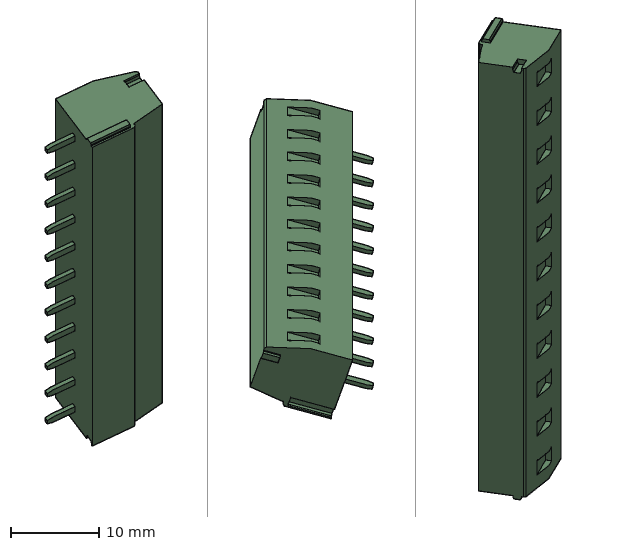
import cadquery as cq

POLES = 11
PITCH = 5.0
END_WALL = 0.1
LENGTH = POLES * PITCH + 2 * END_WALL
DEPTH = 10.0
WIDTH = 8.1

LEFT_BREAK = 5.0
BACK_LEFT = 1.35
BACK_RIGHT = 6.85
STEP_DEPTH = 5.8
STEP_WIDTH = 0.5
STEP_CHAMFER = 0.25
CORNER_CHAMFER = 0.2

PIN_LENGTH = 3.65
PIN_THICKNESS = 0.5
PIN_HEIGHT = 1.0
PIN_TIP_LENGTH = 0.75
PIN_TIP_HEIGHT = 0.6

WINDOW_FRONT = 3.85
WINDOW_BACK = 7.5
WINDOW_HEIGHT = 1.8
WINDOW_FLOOR = 0.7

WIDTH_CLEARANCE = 0.05
DEPTH_CLEARANCE = 0.25
RAIL_CENTRE = 7.35
RAIL_WIDTH = 1.05
RAIL_HEIGHT = 0.4
RAIL_LENGTH = 5.2
KEY_CENTRE = 2.3
KEY_WIDTH = 1.0
KEY_HEIGHT = 0.4
KEY_LENGTH = 2.0
CREST_BEVEL = 0.15


def housing():
    outline = [
        (0, 0),
        (WIDTH, 0),
        (WIDTH, STEP_DEPTH - STEP_CHAMFER),
        (WIDTH - STEP_CHAMFER, STEP_DEPTH),
        (WIDTH - STEP_WIDTH, STEP_DEPTH),
        (BACK_RIGHT, DEPTH),
        (BACK_LEFT, DEPTH),
        (0, LEFT_BREAK),
    ]
    block = cq.Workplane("XY").polyline(outline).close().extrude(LENGTH)
    return block.faces(">Y").edges("<X").chamfer(CORNER_CHAMFER)


def bevelled_bar(centre, width, height, y_start, length):
    """Bar along Y with its base at Z = 0; a negative height points down."""
    half = width / 2
    crest = half - CREST_BEVEL
    section = [
        (centre - half, 0),
        (centre + half, 0),
        (centre + half, height / 2),
        (centre + crest, height),
        (centre - crest, height),
        (centre - half, height / 2),
    ]
    bar = cq.Workplane("XZ").polyline(section).close().extrude(-length)
    return bar.translate((0, y_start, 0))


def pin(z):
    half = PIN_HEIGHT / 2
    tip = PIN_TIP_HEIGHT / 2
    shoulder = PIN_TIP_LENGTH - PIN_LENGTH
    side = [
        (0, z - half),
        (shoulder, z - half),
        (-PIN_LENGTH, z - tip),
        (-PIN_LENGTH, z + tip),
        (shoulder, z + half),
        (0, z + half),
    ]
    blade = cq.Workplane("YZ").polyline(side).close().extrude(PIN_THICKNESS)
    return blade.translate(((WIDTH - PIN_THICKNESS) / 2, 0, 0))


def window(z):
    size_y = WINDOW_BACK - WINDOW_FRONT
    block = cq.Workplane("XY").box(WINDOW_FLOOR, size_y, WINDOW_HEIGHT, centered=(False, False, True))
    return block.translate((0, WINDOW_FRONT, z))


def rail(growth=0, extra_height=0):
    """Rail along the front of an end, based at Z = 0 and standing upwards."""
    return bevelled_bar(RAIL_CENTRE, RAIL_WIDTH + growth, RAIL_HEIGHT + extra_height, 0, RAIL_LENGTH)


def key(growth=0, extra_height=0):
    """Short key at the back of an end, based at Z = 0 and hanging downwards."""
    height = -(KEY_HEIGHT + extra_height)
    return bevelled_bar(KEY_CENTRE, KEY_WIDTH + growth, height, DEPTH - KEY_LENGTH, KEY_LENGTH)


result = housing()

top = (0, 0, LENGTH)
result = result.union(rail().translate(top))
result = result.cut(key(WIDTH_CLEARANCE, DEPTH_CLEARANCE).translate(top))

result = result.union(key())
result = result.cut(rail(WIDTH_CLEARANCE, DEPTH_CLEARANCE))

for pole in range(POLES):
    pole_z = END_WALL + (pole + 0.5) * PITCH
    result = result.cut(window(pole_z)).union(pin(pole_z))